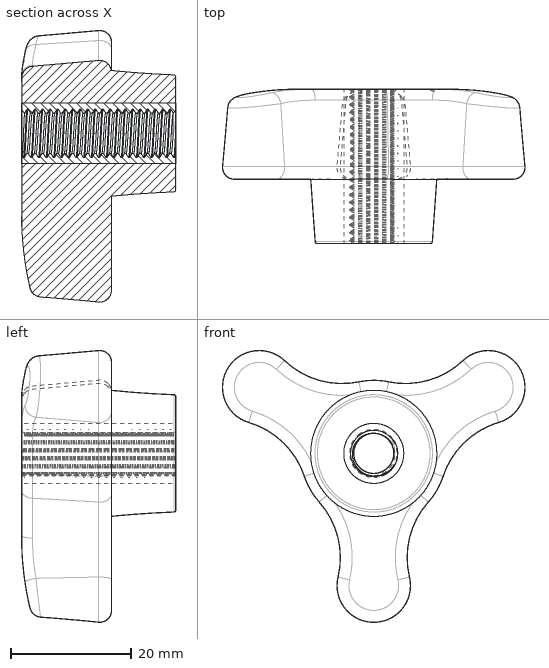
import cadquery as cq
import math

ARM_COUNT = 3
ARM_PITCH = 360 / ARM_COUNT
FIRST_ARM_ANGLE = 30
TIP_DISTANCE = 22.0
HEAD_DEPTH = 15.0
HEAD_DRAFT = 5.0
BACK_TIP_RADIUS = 5.0
BACK_HUB_RADIUS = 11.05
BACK_NECK_RADIUS = 15.0
EDGE_RADIUS = 2.0

CROWN_FLAT_RADIUS = 14.0
CROWN_ARC_RADIUS = 50.0
CROWN_REACH = 32.0

BOSS_LENGTH = 10.7
BOSS_BASE_RADIUS = 10.5
BOSS_DRAFT = 4.0
BOSS_EDGE_RADIUS = 0.4
BOSS_ROOT = 3.0

INSERT_RADIUS = 5.0
THREAD_MAJOR_RADIUS = 4.0
THREAD_PITCH = 1.25
THREAD_FLANK = 30
THREAD_DEPTH = 5 / 8 * THREAD_PITCH * math.cos(math.radians(THREAD_FLANK))
ROOT_WIDTH = THREAD_PITCH / 8
THREAD_MINOR_RADIUS = THREAD_MAJOR_RADIUS - THREAD_DEPTH
GROOVE_OVERLAP = 0.1
SECTION_TURNS = 4
MOUTH_RADIUS = 3.85

INSERT_LENGTH = BOSS_LENGTH + HEAD_DEPTH


def polar(radius, angle):
    """Point at an angle in degrees."""
    return (radius * math.cos(math.radians(angle)), radius * math.sin(math.radians(angle)))


def towards(start, end, distance):
    """Point a given distance from start on the line to end."""
    span = math.dist(start, end)
    return tuple(s + (e - s) * distance / span for s, e in zip(start, end))


def head_outline(workplane, growth):
    """Tangent arcs of tip, neck and hub, offset outwards by growth."""
    tip_radius = BACK_TIP_RADIUS + growth
    hub_radius = BACK_HUB_RADIUS + growth
    neck_radius = BACK_NECK_RADIUS - growth

    hub_to_neck = hub_radius + neck_radius
    tip_to_neck = tip_radius + neck_radius
    cosine = (hub_to_neck**2 + TIP_DISTANCE**2 - tip_to_neck**2) / (2 * hub_to_neck * TIP_DISTANCE)
    neck_angle = math.degrees(math.acos(cosine))

    def neck(arm_angle, side):
        """Tip end, middle and hub end of the neck arc on one side of an arm."""
        tip_centre = polar(TIP_DISTANCE, arm_angle)
        neck_centre = polar(hub_to_neck, arm_angle + side * neck_angle)
        tip_end = towards(tip_centre, neck_centre, tip_radius)
        hub_end = polar(hub_radius, arm_angle + side * neck_angle)
        chord_middle = tuple((a + b) / 2 for a, b in zip(tip_end, hub_end))
        return tip_end, towards(neck_centre, chord_middle, neck_radius), hub_end

    outline = workplane.moveTo(*neck(FIRST_ARM_ANGLE, -1)[2])
    for arm in range(ARM_COUNT):
        arm_angle = FIRST_ARM_ANGLE + arm * ARM_PITCH
        tip_start, entry_middle, _ = neck(arm_angle, -1)
        tip_end, exit_middle, hub_start = neck(arm_angle, 1)
        hub_end = neck(arm_angle + ARM_PITCH, -1)[2]
        outline = outline.threePointArc(entry_middle, tip_start)
        outline = outline.threePointArc(polar(TIP_DISTANCE + tip_radius, arm_angle), tip_end)
        outline = outline.threePointArc(exit_middle, hub_start)
        outline = outline.threePointArc(polar(hub_radius, arm_angle + ARM_PITCH / 2), hub_end)
    return outline.close()


def make_crown_envelope():
    """Solid of revolution whose back is flat in the middle and falls away along an arc."""
    def drop(radius):
        run = radius - CROWN_FLAT_RADIUS
        return CROWN_ARC_RADIUS - math.sqrt(CROWN_ARC_RADIUS**2 - run**2)

    middle_radius = (CROWN_FLAT_RADIUS + CROWN_REACH) / 2
    return (
        cq.Workplane("XY")
        .lineTo(CROWN_REACH, 0)
        .lineTo(CROWN_REACH, HEAD_DEPTH - drop(CROWN_REACH))
        .threePointArc((middle_radius, HEAD_DEPTH - drop(middle_radius)), (CROWN_FLAT_RADIUS, HEAD_DEPTH))
        .lineTo(0, HEAD_DEPTH)
        .close()
        .revolve(360, (0, 0), (0, 1))
    )


def make_head():
    """Drafted three-armed head with a crowned back and rounded rims."""
    draft_growth = HEAD_DEPTH * math.tan(math.radians(HEAD_DRAFT))
    face = head_outline(cq.Workplane("XZ"), draft_growth)
    outlines = head_outline(face.workplane(offset=-HEAD_DEPTH), 0)
    head = outlines.loft(ruled=True).intersect(make_crown_envelope())
    head = head.faces("<Y").edges().fillet(EDGE_RADIUS)
    return head.faces(">Y").edges().fillet(EDGE_RADIUS)


def make_boss():
    """Tapered round boss with a rounded end."""
    def radius_at(y):
        return BOSS_BASE_RADIUS + y * math.tan(math.radians(BOSS_DRAFT))

    boss = (
        cq.Workplane("XY")
        .moveTo(0, -BOSS_LENGTH)
        .lineTo(radius_at(-BOSS_LENGTH), -BOSS_LENGTH)
        .lineTo(radius_at(BOSS_ROOT), BOSS_ROOT)
        .lineTo(0, BOSS_ROOT)
        .close()
        .revolve(360, (0, 0), (0, 1))
    )
    return boss.faces("<Y").edges().fillet(BOSS_EDGE_RADIUS)


def make_insert_blank():
    """Plain cylinder along Z, as long as the whole knob."""
    return cq.Workplane("XY").circle(INSERT_RADIUS).extrude(INSERT_LENGTH)


def along_axis(body):
    """Lay a body built along Z onto the knob axis, its foot at the boss end."""
    return body.rotate((0, 0, 0), (1, 0, 0), -90).translate((0, -BOSS_LENGTH, 0))


def make_bore():
    """Thread core hole with a 45 degree mouth at each end."""
    mouth_depth = MOUTH_RADIUS - THREAD_MINOR_RADIUS
    return (
        cq.Workplane("XZ")
        .lineTo(MOUTH_RADIUS, 0)
        .lineTo(THREAD_MINOR_RADIUS, mouth_depth)
        .lineTo(THREAD_MINOR_RADIUS, INSERT_LENGTH - mouth_depth)
        .lineTo(MOUTH_RADIUS, INSERT_LENGTH)
        .lineTo(0, INSERT_LENGTH)
        .close()
        .revolve(360, (0, 0), (0, 1))
    )


def make_groove_section():
    """A few turns of right-handed thread groove, starting about Z = 0."""
    inner_radius = THREAD_MINOR_RADIUS - GROOVE_OVERLAP
    root_half_width = ROOT_WIDTH / 2
    flank_rise = (THREAD_MAJOR_RADIUS - inner_radius) * math.tan(math.radians(THREAD_FLANK))
    mouth_half_width = root_half_width + flank_rise
    helix = cq.Wire.makeHelix(THREAD_PITCH, SECTION_TURNS * THREAD_PITCH, THREAD_MINOR_RADIUS)
    return (
        cq.Workplane("XZ")
        .polyline([
            (inner_radius, -mouth_half_width),
            (THREAD_MAJOR_RADIUS, -root_half_width),
            (THREAD_MAJOR_RADIUS, root_half_width),
            (inner_radius, mouth_half_width),
        ])
        .close()
        .sweep(helix, isFrenet=True)
    )


def make_insert():
    """Bush threaded right through, with the groove cut section by section."""
    bush = make_insert_blank().cut(make_bore())
    section = make_groove_section()
    section_length = SECTION_TURNS * THREAD_PITCH
    section_count = math.ceil((INSERT_LENGTH + 2 * THREAD_PITCH) / section_length)
    for index in range(section_count):
        bush = bush.cut(section.translate((0, 0, index * section_length - THREAD_PITCH)))
    return along_axis(bush)


knob = make_head().union(make_boss()).cut(along_axis(make_insert_blank()))
insert = make_insert()
result = cq.Compound.makeCompound([*knob.solids().vals(), *insert.solids().vals()])